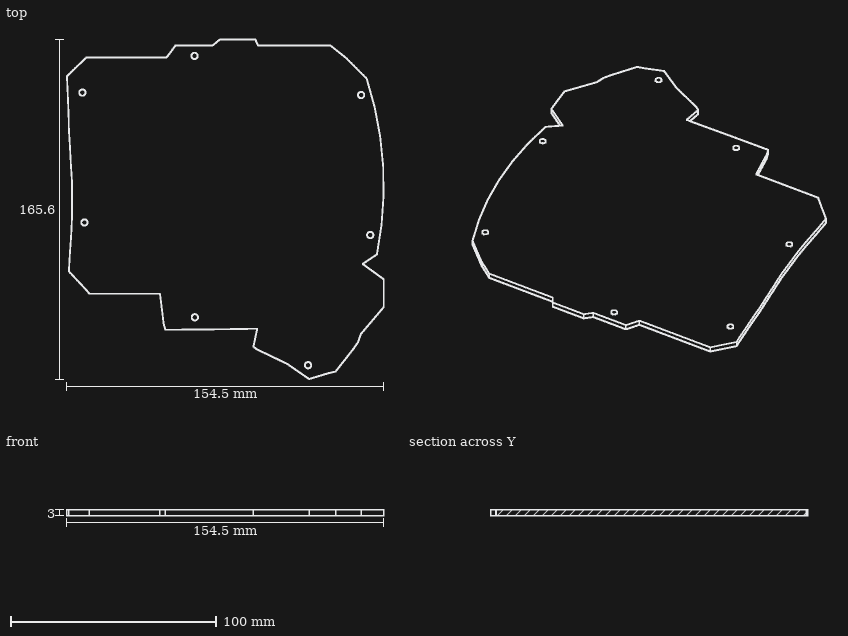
import cadquery as cq

width = 154.5
length = 165.6
thickness = 3.0
hole_diameter = 3.0

lower_left_y = 41.5
upper_left_y = 156.8
shoulder_y = 162.6

waist_x = 2.5
left_side = [
    (0.0, 147.5),
    (0.2, 145.0),
    (0.8, 129.3),
    (1.0, 121.7),
    (1.5, 113.6),
    (2.0, 104.2),
    (waist_x, 96.5),
    (waist_x, 78.3),
    (2.2, 70.9),
    (1.5, 61.5),
    (1.0, 52.5),
]

bottom_side = [
    (8.6, 44.4),
    (11.1, lower_left_y),
    (45.4, lower_left_y),
    (47.2, 26.8),
    (48.0, 24.0),
    (70.5, 24.2),
    (92.7, 24.5),
]

lobe = [
    (90.9, 15.9),
    (92.4, 14.5),
    (107.3, 7.5),
    (118.0, 0.0),
    (127.3, 2.8),
    (131.0, 3.6),
    (139.6, 14.5),
    (142.0, 17.9),
    (143.4, 22.0),
    (width, 35.1),
    (width, 48.7),
    (144.2, 56.1),
]

curve_start = (151.2, 60.8)
curve_middle = (width, 93.9)
curve_end = (146.2, 146.4)

top_side = [
    (136.0, 156.7),
    (128.5, shoulder_y),
    (93.2, shoulder_y),
    (91.9, length),
    (74.7, length),
    (71.0, shoulder_y),
    (53.0, shoulder_y),
    (48.7, upper_left_y),
    (9.6, upper_left_y),
]

hole_centers = [
    (62.3, 157.5),
    (7.6, 139.6),
    (143.4, 138.5),
    (8.6, 76.3),
    (147.9, 70.2),
    (62.5, 30.1),
    (117.5, 6.8),
]


def make_plate():
    corners_before_curve = left_side + bottom_side + lobe + [curve_start]
    outline = (
        cq.Workplane("XY")
        .polyline(corners_before_curve)
        .threePointArc(curve_middle, curve_end)
    )
    for corner in top_side:
        outline = outline.lineTo(*corner)
    return outline.close().extrude(thickness)


def make_holes():
    return (
        cq.Workplane("XY")
        .pushPoints(hole_centers)
        .circle(hole_diameter / 2)
        .extrude(thickness)
    )


result = make_plate().cut(make_holes())